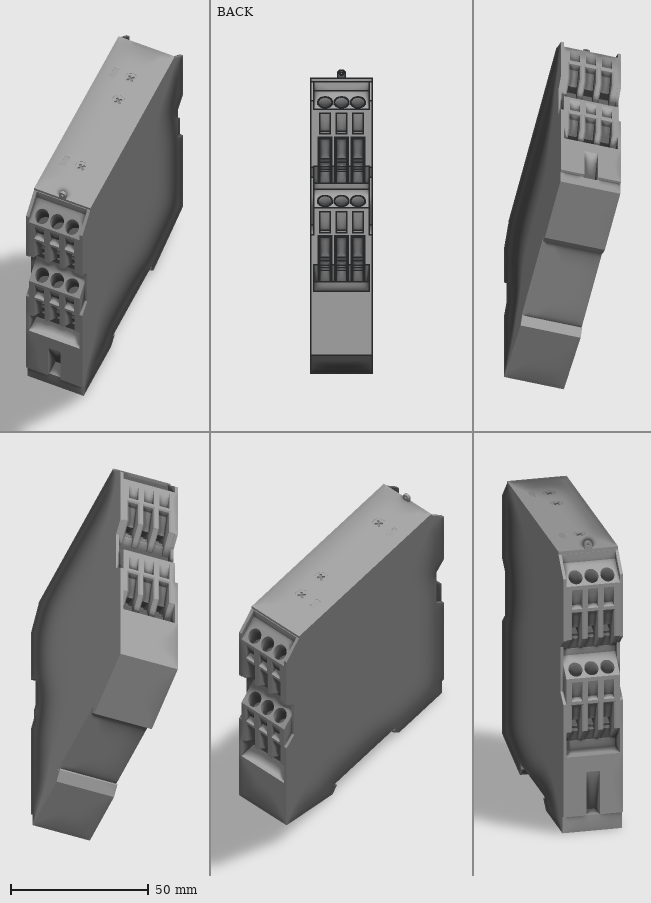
import cadquery as cq
import math

WIDTH = 22.5
DEPTH = 90.0
HEIGHT = 110.6
HALF_DEPTH = DEPTH / 2

BODY_TOP = 106.4
TOP_HALF_DEPTH = 38.0
BEVEL_BOTTOM = 99.4
NOTCH_TOP = 75.1
NOTCH_BOTTOM = 50.5
NOTCH_DEPTH = 4.35
NOTCH_RISE = 3.65
FOOT_HEIGHT = 6.6
FOOT_STEP = 1.2
RAIL_HALF_WIDTH = 17.6
RAIL_DEPTH = 4.7
HOOK_Y = 16.1
HOOK_TOP = 3.7
HOOK_BOTTOM = 3.0
FRONT_FOOT_Y = -19.4
REAR_FOOT_Y = 18.7

COVER_HALF_DEPTH = 37.8
COVER_TOP = 107.6
TAB_WIDTH = 2.75
TAB_THICKNESS = 1.1
TAB_HOLE_DIAMETER = 1.0

SCREW_X = 0.6
SCREW_YS = (22.0, 11.0, -22.0)
SCREW_DIAMETER = 4.9
CROSS_LENGTH = 3.0
CROSS_WIDTH = 0.85
CROSS_DEPTH = 0.6
CROSS_ANGLES = (45, 135)
WINDOW_X = -5.9
WINDOW_YS = (22.0, -22.0)
WINDOW_WIDTH = 2.0
WINDOW_LENGTH = 4.3
SINK_DEPTH = 0.1

BAY_WIDTH = 20.2
BAY_FLOOR = 29.8
BLOCK_PITCH = 36.0
UPPER_BLOCK_TOP = 103.0
BLOCK_DEPTH = HALF_DEPTH - TOP_HALF_DEPTH
BLOCK_SLOPE_DROP = 6.7
BLOCK_FACE_HEIGHT = 20.8
BLOCK_UNDERCUT_RISE = 6.2

POLE_PITCH = 6.0
POLE_OFFSETS = (-POLE_PITCH, 0.0, POLE_PITCH)
TILT = 20.0
WIRE_HOLE_DIAMETER = 5.2
WIRE_HOLE_DEPTH = 8.7
WIRE_HOLE_DROP = 4.2
SLOT_WIDTH = 3.8
TOOL_SLOT_TOP_DROP = 8.2
TOOL_SLOT_BOTTOM_DROP = 15.7
CONTACT_RECESS_DROP = 17.4
CONTACT_RECESS_SETBACK = 2.9
CONTACT_RECESS_RIM = 0.5
RIM_TAPER = 45
CONTACT_STEP_DROP = 28.6
CONTACT_STEP_HEIGHT = 0.8
CONTACT_STEP_DEPTH = 1.0
CONTACT_HOLE_DROP = 24.8
CONTACT_HOLE_HEIGHT = 3.1
CONTACT_HOLE_DEPTH = 5.0

RELEASE_WIDTH = 5.0
RELEASE_TOP = 23.5
RELEASE_BOTTOM = 6.3
RELEASE_DEPTH = 7.0

SIN_TILT = math.sin(math.radians(TILT))
COS_TILT = math.cos(math.radians(TILT))
TAN_TILT = SIN_TILT / COS_TILT


def prism(points, width, x=0.0):
    """Extrude a (Y, Z) outline along X, centred on x."""
    return (
        cq.Workplane("YZ", origin=(x, 0, 0))
        .polyline(points)
        .close()
        .extrude(width / 2, both=True)
    )


def at_both_ends(shape):
    """Add the copy mirrored to the +Y end."""
    return shape.union(shape.mirror("XZ"))


def waist(sign):
    """Upper bevel and waist notch of one end, from the top downwards."""
    return [
        (sign * TOP_HALF_DEPTH, BODY_TOP),
        (sign * HALF_DEPTH, BEVEL_BOTTOM),
        (sign * HALF_DEPTH, NOTCH_TOP),
        (sign * (HALF_DEPTH - NOTCH_DEPTH), NOTCH_TOP - NOTCH_RISE),
        (sign * (HALF_DEPTH - NOTCH_DEPTH), NOTCH_BOTTOM + NOTCH_RISE),
        (sign * HALF_DEPTH, NOTCH_BOTTOM),
        (sign * HALF_DEPTH, FOOT_HEIGHT),
    ]


def make_housing():
    """Full-width housing with hooks for the mounting rail under its foot."""
    foot_front = -HALF_DEPTH + FOOT_STEP
    foot = [
        (foot_front, FOOT_HEIGHT),
        (foot_front, 0),
        (FRONT_FOOT_Y, 0),
        (-HOOK_Y, HOOK_BOTTOM),
        (-HOOK_Y, HOOK_TOP),
        (-RAIL_HALF_WIDTH, HOOK_TOP),
        (-RAIL_HALF_WIDTH, RAIL_DEPTH),
        (RAIL_HALF_WIDTH, RAIL_DEPTH),
        (RAIL_HALF_WIDTH, HOOK_TOP),
        (HOOK_Y, HOOK_BOTTOM),
        (REAR_FOOT_Y, 0),
    ]
    return prism(waist(-1) + foot + waist(1)[::-1], WIDTH)


def make_bay():
    """Front terminal bay, open to the front and to the bevel above."""
    height = BODY_TOP - BAY_FLOOR
    return cq.Workplane("XY").box(BAY_WIDTH, BLOCK_DEPTH, height).translate(
        (0, -TOP_HALF_DEPTH - BLOCK_DEPTH / 2, BAY_FLOOR + height / 2)
    )


def make_block(top):
    """Front terminal block: slope, upright face and undercut."""
    face_top = top - BLOCK_SLOPE_DROP
    face_bottom = face_top - BLOCK_FACE_HEIGHT
    outline = [
        (-TOP_HALF_DEPTH, top),
        (-HALF_DEPTH, face_top),
        (-HALF_DEPTH, face_bottom),
        (-TOP_HALF_DEPTH, face_bottom - BLOCK_UNDERCUT_RISE),
    ]
    return prism(outline, BAY_WIDTH)


def make_wire_hole(x, top):
    """Blind round hole through the block's slope, running down and inwards at the tilt angle."""
    slope_run = BLOCK_DEPTH * WIRE_HOLE_DROP / BLOCK_SLOPE_DROP
    mouth = cq.Vector(x, -TOP_HALF_DEPTH - slope_run, top - WIRE_HOLE_DROP)
    axis = cq.Vector(0, SIN_TILT, -COS_TILT)
    lead_in = WIRE_HOLE_DIAMETER
    start = mouth - axis * lead_in
    hole = cq.Solid.makeCylinder(WIRE_HOLE_DIAMETER / 2, WIRE_HOLE_DEPTH + lead_in, start, axis)
    return cq.Workplane(hole)


def make_tool_slot(x, top):
    """Triangular slot: tilted back wall meeting a floor square to it."""
    slot_top = top - TOOL_SLOT_TOP_DROP
    slot_bottom = top - TOOL_SLOT_BOTTOM_DROP
    back_length = (slot_top - slot_bottom) * COS_TILT
    corner = (-HALF_DEPTH + back_length * SIN_TILT, slot_top - back_length * COS_TILT)
    return prism([(-HALF_DEPTH, slot_top), corner, (-HALF_DEPTH, slot_bottom)], SLOT_WIDTH, x)


def make_contact_recess(x, top):
    """Recess open to the face and the undercut: tilted back wall with a step and a hole square to it."""
    recess_top = top - CONTACT_RECESS_DROP
    face_bottom = top - BLOCK_SLOPE_DROP - BLOCK_FACE_HEIGHT
    block_bottom = face_bottom - BLOCK_UNDERCUT_RISE

    def wall_y(z):
        return -HALF_DEPTH + CONTACT_RECESS_SETBACK + (recess_top - z) * TAN_TILT

    step_top = top - CONTACT_STEP_DROP
    step_bottom = step_top - CONTACT_STEP_HEIGHT
    recess = prism(
        [
            (-HALF_DEPTH, recess_top),
            (wall_y(recess_top), recess_top),
            (wall_y(step_top), step_top),
            (wall_y(step_bottom) - CONTACT_STEP_DEPTH, step_bottom),
            (wall_y(block_bottom) - CONTACT_STEP_DEPTH, block_bottom),
            (-HALF_DEPTH, block_bottom),
        ],
        SLOT_WIDTH,
        x,
    )

    hole_top = top - CONTACT_HOLE_DROP
    hole_drop = CONTACT_HOLE_HEIGHT * COS_TILT
    hole_run = CONTACT_HOLE_HEIGHT * SIN_TILT
    depth_run = CONTACT_HOLE_DEPTH * COS_TILT
    depth_rise = CONTACT_HOLE_DEPTH * SIN_TILT
    hole_y = wall_y(hole_top)
    hole = prism(
        [
            (hole_y, hole_top),
            (hole_y + depth_run, hole_top + depth_rise),
            (hole_y + depth_run + hole_run, hole_top + depth_rise - hole_drop),
            (hole_y + hole_run, hole_top - hole_drop),
        ],
        SLOT_WIDTH,
        x,
    )

    rim_width = SLOT_WIDTH + 2 * CONTACT_RECESS_RIM
    rim_height = recess_top - face_bottom + 2 * CONTACT_RECESS_RIM
    face_rim = (
        cq.Workplane("XZ", origin=(x, -HALF_DEPTH, face_bottom + rim_height / 2 - CONTACT_RECESS_RIM))
        .rect(rim_width, rim_height)
        .extrude(-CONTACT_RECESS_RIM, taper=RIM_TAPER)
    )
    undercut_plane = cq.Plane(
        origin=(x, -TOP_HALF_DEPTH - BLOCK_DEPTH / 2, face_bottom - BLOCK_UNDERCUT_RISE / 2),
        xDir=(1, 0, 0),
        normal=(0, BLOCK_UNDERCUT_RISE, BLOCK_DEPTH),
    )
    undercut_rim = (
        cq.Workplane(undercut_plane)
        .rect(rim_width, math.hypot(BLOCK_DEPTH, BLOCK_UNDERCUT_RISE))
        .extrude(CONTACT_RECESS_RIM, taper=RIM_TAPER)
    )
    return recess.union(hole).union(face_rim).union(undercut_rim)


def make_release_groove():
    """Groove in the front face that deepens towards a flat floor at the foot."""
    outline = [
        (-HALF_DEPTH, RELEASE_TOP),
        (-HALF_DEPTH + RELEASE_DEPTH, RELEASE_BOTTOM),
        (-HALF_DEPTH, RELEASE_BOTTOM),
    ]
    return prism(outline, RELEASE_WIDTH)


def make_cover():
    """Cover plate with its tab, sunk indicator windows and sunk cross-recessed screws."""
    cover = cq.Workplane("XY").box(WIDTH, 2 * COVER_HALF_DEPTH, COVER_TOP - BODY_TOP)
    cover = cover.translate((0, 0, (COVER_TOP + BODY_TOP) / 2))
    tab_radius = TAB_WIDTH / 2
    tab_centre = HEIGHT - tab_radius
    tab = (
        cq.Workplane("XZ", origin=(0, -COVER_HALF_DEPTH, 0))
        .moveTo(-tab_radius, BODY_TOP)
        .lineTo(-tab_radius, tab_centre)
        .threePointArc((0, HEIGHT), (tab_radius, tab_centre))
        .lineTo(tab_radius, BODY_TOP)
        .close()
        .extrude(-TAB_THICKNESS)
    )
    tab_hole = (
        cq.Workplane("XZ", origin=(0, -COVER_HALF_DEPTH, tab_centre))
        .circle(TAB_HOLE_DIAMETER / 2)
        .extrude(-TAB_THICKNESS)
    )
    windows = (
        cq.Workplane("XY", origin=(0, 0, COVER_TOP))
        .pushPoints([(WINDOW_X, y) for y in WINDOW_YS])
        .rect(WINDOW_WIDTH, WINDOW_LENGTH)
        .extrude(-SINK_DEPTH)
    )
    screws = (
        cq.Workplane("XY", origin=(0, 0, COVER_TOP))
        .pushPoints([(SCREW_X, y) for y in SCREW_YS])
        .circle(SCREW_DIAMETER / 2)
        .extrude(-SINK_DEPTH)
    )
    cover = cover.union(tab).cut(tab_hole).cut(windows).cut(screws)
    for screw_y in SCREW_YS:
        for angle in CROSS_ANGLES:
            arm = (
                cq.Workplane("XY", origin=(SCREW_X, screw_y, COVER_TOP))
                .transformed(rotate=(0, 0, angle))
                .rect(CROSS_LENGTH, CROSS_WIDTH)
                .extrude(-SINK_DEPTH - CROSS_DEPTH)
            )
            cover = cover.cut(arm)
    return cover


block_tops = (UPPER_BLOCK_TOP, UPPER_BLOCK_TOP - BLOCK_PITCH)

result = make_housing().cut(at_both_ends(make_bay())).union(make_cover())
for block_top in block_tops:
    result = result.union(at_both_ends(make_block(block_top)))
for block_top in block_tops:
    for pole_x in POLE_OFFSETS:
        for make_cutter in (make_wire_hole, make_tool_slot, make_contact_recess):
            cutter = make_cutter(pole_x, block_top)
            result = result.cut(cutter).cut(cutter.mirror("XZ"))
result = result.cut(make_release_groove())